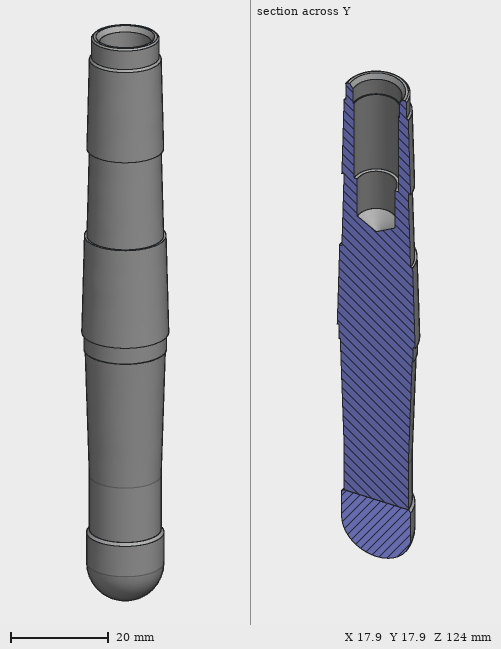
import cadquery as cq
import math

LENGTH = 124.0

CAP_DIAMETER = 15.9
CAP_TOP = 15.2
CAP_CHAMFER = 0.6

NECK_TOP = 27.3
TAPER_TOP = 55.0
COLLAR_TOP = 58.8
GRIP_TOP = 80.1
MIDDLE_FLARE_TOP = 99.3
UPPER_FLARE_TOP = 119.0
SPIGOT_BASE = 119.5

NECK_DIAMETER = 14.8
TAPER_DIAMETER = 16.5
COLLAR_DIAMETER = 17.0
GRIP_BASE_DIAMETER = 17.9
GRIP_TOP_DIAMETER = 16.7
FLARE_BASE_DIAMETER = 15.7
FLARE_TOP_DIAMETER = 14.8
SPIGOT_DIAMETER = 13.9
SPIGOT_CHAMFER = 0.4

MOUTH_DIAMETER = 10.5
MOUTH_CHAMFER_WIDTH = 0.7
MOUTH_CHAMFER_DEPTH = 1.1
MOUTH_DEPTH = 5.0
BORE_DIAMETER = 10.0
BORE_DEPTH = 24.8
PILOT_DIAMETER = 8.5
PILOT_DEPTH = 34.7
DRILL_POINT_ANGLE = 118.0


def make_cap():
    """Cylindrical cap with a hemispherical lower end and a chamfered top edge."""
    radius = CAP_DIAMETER / 2
    arc_offset = radius * math.sin(math.radians(45))
    profile = (
        cq.Workplane("XZ")
        .moveTo(0, 0)
        .threePointArc((arc_offset, radius - arc_offset), (radius, radius))
        .lineTo(radius, CAP_TOP - CAP_CHAMFER)
        .lineTo(radius - CAP_CHAMFER, CAP_TOP)
        .lineTo(0, CAP_TOP)
        .close()
    )
    return profile.revolve(360, (0, 0, 0), (0, 1, 0))


def make_barrel_blank():
    """Solid barrel: neck, taper, collar, tapered grip, two flares and a spigot."""
    spigot_radius = SPIGOT_DIAMETER / 2
    profile = (
        cq.Workplane("XZ")
        .moveTo(0, CAP_TOP)
        .lineTo(NECK_DIAMETER / 2, CAP_TOP)
        .lineTo(NECK_DIAMETER / 2, NECK_TOP)
        .lineTo(TAPER_DIAMETER / 2, TAPER_TOP)
        .lineTo(COLLAR_DIAMETER / 2, TAPER_TOP)
        .lineTo(COLLAR_DIAMETER / 2, COLLAR_TOP)
        .lineTo(GRIP_BASE_DIAMETER / 2, COLLAR_TOP)
        .lineTo(GRIP_TOP_DIAMETER / 2, GRIP_TOP)
        .lineTo(FLARE_BASE_DIAMETER / 2, GRIP_TOP)
        .lineTo(FLARE_TOP_DIAMETER / 2, MIDDLE_FLARE_TOP)
        .lineTo(FLARE_BASE_DIAMETER / 2, MIDDLE_FLARE_TOP)
        .lineTo(FLARE_TOP_DIAMETER / 2, UPPER_FLARE_TOP)
        .lineTo(spigot_radius, SPIGOT_BASE)
        .lineTo(spigot_radius, LENGTH - SPIGOT_CHAMFER)
        .lineTo(spigot_radius - SPIGOT_CHAMFER, LENGTH)
        .lineTo(0, LENGTH)
        .close()
    )
    return profile.revolve(360, (0, 0, 0), (0, 1, 0))


def make_bore():
    """Stepped bore with a chamfered mouth and a drill-point bottom."""
    pilot_radius = PILOT_DIAMETER / 2
    point_depth = pilot_radius / math.tan(math.radians(DRILL_POINT_ANGLE / 2))
    profile = (
        cq.Workplane("XZ")
        .moveTo(0, LENGTH)
        .lineTo(MOUTH_DIAMETER / 2 + MOUTH_CHAMFER_WIDTH, LENGTH)
        .lineTo(MOUTH_DIAMETER / 2, LENGTH - MOUTH_CHAMFER_DEPTH)
        .lineTo(MOUTH_DIAMETER / 2, LENGTH - MOUTH_DEPTH)
        .lineTo(BORE_DIAMETER / 2, LENGTH - MOUTH_DEPTH)
        .lineTo(BORE_DIAMETER / 2, LENGTH - BORE_DEPTH)
        .lineTo(pilot_radius, LENGTH - BORE_DEPTH)
        .lineTo(pilot_radius, LENGTH - PILOT_DEPTH)
        .lineTo(0, LENGTH - PILOT_DEPTH - point_depth)
        .close()
    )
    return profile.revolve(360, (0, 0, 0), (0, 1, 0))


cap = make_cap()
barrel = make_barrel_blank().cut(make_bore())
result = cq.Compound.makeCompound([cap.val(), barrel.val()])